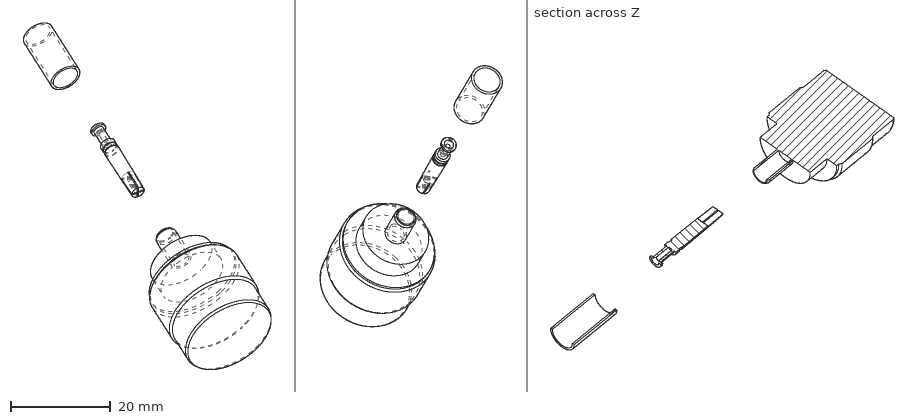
import cadquery as cq

TOTAL_LENGTH = 87.9

FERRULE_LENGTH = 12.7
FERRULE_DIAMETER = 6.5
FERRULE_BORE_DIAMETER = 5.45

PIN_START = 27.4
PIN_FLANGE_END = 27.95
PIN_NECK_END = 31.9
PIN_GROOVE_START = 33.0
PIN_GROOVE_END = 33.85
PIN_SLOT_START = 41.5
PIN_END = 46.0

PIN_DIAMETER = 3.2
PIN_NECK_DIAMETER = 2.1
PIN_GROOVE_DIAMETER = 2.8
PIN_SLOT_START_DIAMETER = 3.0
PIN_TIP_DIAMETER = 2.8
PIN_SLOT_WIDTH = 0.3
WIRE_HOLE_DIAMETER = 0.9
WIRE_HOLE_MOUTH_DIAMETER = 1.9
WIRE_HOLE_COUNTERSINK_DEPTH = 0.8

SPIGOT_START = 58.4
BACK_START = 65.8
NUT_START = 70.7
NUT_RIM_END = 71.3
NUT_STEP = 80.9

SPIGOT_DIAMETER = 4.5
SPIGOT_BORE_DIAMETER = 3.4
BACK_DIAMETER = 13.8
NUT_DIAMETER = 20.0
NUT_RIM_DIAMETER = 19.2
CHAMFER_LENGTH = 0.5
END_CHAMFER_DROP = 0.3


def turned(profile):
    """Revolve (x, diameter) points about the X axis, closing the profile along the axis."""
    first_x = profile[0][0]
    last_x = profile[-1][0]
    outline = [(x, diameter / 2) for x, diameter in profile]
    points = [(first_x, 0), *outline, (last_x, 0)]
    return cq.Workplane("XZ").polyline(points).close().revolve(360, (0, 0, 0), (1, 0, 0))


def cylinder(start, end, diameter):
    """Solid cylinder on the X axis."""
    return turned([(start, diameter), (end, diameter)])


def make_ferrule():
    bore = cylinder(0, FERRULE_LENGTH, FERRULE_BORE_DIAMETER)
    return cylinder(0, FERRULE_LENGTH, FERRULE_DIAMETER).cut(bore)


def make_pin_blank():
    """Flange, neck, grooved shank and a tip that tapers toward its end."""
    return turned([
        (PIN_START, PIN_DIAMETER),
        (PIN_FLANGE_END, PIN_DIAMETER),
        (PIN_FLANGE_END, PIN_NECK_DIAMETER),
        (PIN_NECK_END, PIN_NECK_DIAMETER),
        (PIN_NECK_END, PIN_DIAMETER),
        (PIN_GROOVE_START, PIN_DIAMETER),
        (PIN_GROOVE_START, PIN_GROOVE_DIAMETER),
        (PIN_GROOVE_END, PIN_GROOVE_DIAMETER),
        (PIN_GROOVE_END, PIN_DIAMETER),
        (PIN_SLOT_START, PIN_SLOT_START_DIAMETER),
        (PIN_END, PIN_TIP_DIAMETER),
    ])


def make_wire_hole():
    """Countersunk blind hole that runs from the flange to the end of the neck."""
    return turned([
        (PIN_START, WIRE_HOLE_MOUTH_DIAMETER),
        (PIN_START + WIRE_HOLE_COUNTERSINK_DEPTH, WIRE_HOLE_DIAMETER),
        (PIN_NECK_END, WIRE_HOLE_DIAMETER),
    ])


def make_tip_slot(angle):
    """Slot through the full width of the tip, turned about the X axis."""
    length = PIN_END - PIN_SLOT_START
    center = (PIN_SLOT_START + PIN_END) / 2
    slot = cq.Workplane("XY").box(length, PIN_SLOT_WIDTH, PIN_DIAMETER)
    return slot.translate((center, 0, 0)).rotate((0, 0, 0), (1, 0, 0), angle)


def make_pin():
    pin = make_pin_blank().cut(make_wire_hole())
    for angle in (0, 90):
        pin = pin.cut(make_tip_slot(angle))
    return pin


def make_connector():
    body = turned([
        (SPIGOT_START, SPIGOT_DIAMETER - 2 * END_CHAMFER_DROP),
        (SPIGOT_START + CHAMFER_LENGTH, SPIGOT_DIAMETER),
        (BACK_START, SPIGOT_DIAMETER),
        (BACK_START, BACK_DIAMETER),
        (NUT_START, BACK_DIAMETER),
        (NUT_START, NUT_RIM_DIAMETER),
        (NUT_RIM_END, NUT_RIM_DIAMETER),
        (NUT_RIM_END + CHAMFER_LENGTH, NUT_DIAMETER),
        (NUT_STEP, NUT_DIAMETER),
        (NUT_STEP + CHAMFER_LENGTH, NUT_RIM_DIAMETER),
        (TOTAL_LENGTH - CHAMFER_LENGTH, NUT_RIM_DIAMETER),
        (TOTAL_LENGTH, NUT_RIM_DIAMETER - 2 * END_CHAMFER_DROP),
    ])
    spigot_bore = cylinder(SPIGOT_START, BACK_START, SPIGOT_BORE_DIAMETER)
    return body.cut(spigot_bore)


ferrule = make_ferrule()
pin = make_pin()
connector = make_connector()

result = cq.Compound.makeCompound([ferrule.val(), pin.val(), connector.val()])